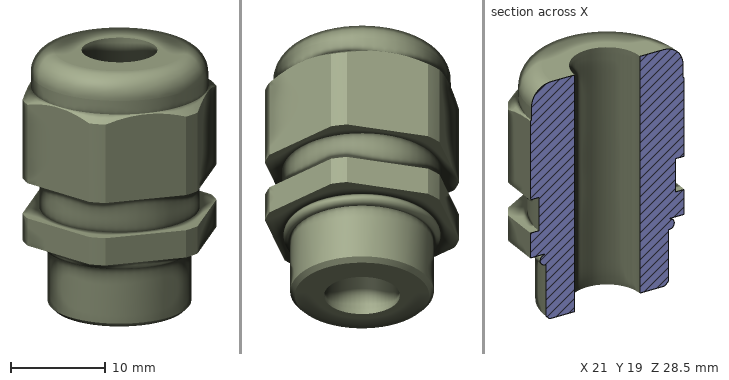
import cadquery as cq
import math

length = 28.5
end_chamfer = 0.48
flange_bottom = 7.95
flange_top = 11.0
nut_bottom = 14.93
nut_chamfer_start = 23.7
nut_top = 24.5

across_flats = 19.0
across_corners = 21.0
corner_radius = across_corners / 2
spigot_radius = 7.6
neck_radius = 8.5
cap_radius = 9.4
cap_round = 2.48
bore_radius = 4.02
seal_radius = 8.32
seal_section_radius = 0.65


def cylinder(radius, bottom, top):
    return cq.Workplane("XY").workplane(offset=bottom).circle(radius).extrude(top - bottom)


def rounded_hexagon(bottom, top):
    """Hexagonal prism with corners on the X axis, turned down to the corner radius."""
    sharp_width = across_flats / math.cos(math.pi / 6)
    prism = cq.Workplane("XY").workplane(offset=bottom).polygon(6, sharp_width).extrude(top - bottom)
    return prism.intersect(cylinder(corner_radius, bottom, top))


def clamping_nut():
    """Hexagon whose upper corners are cut back by a cone down to the cap radius."""
    envelope = (
        cq.Workplane("XZ")
        .moveTo(0, nut_bottom)
        .lineTo(corner_radius, nut_bottom)
        .lineTo(corner_radius, nut_chamfer_start)
        .lineTo(cap_radius, nut_top)
        .lineTo(0, nut_top)
        .close()
        .revolve(360, (0, 0, 0), (0, 1, 0))
    )
    return rounded_hexagon(nut_bottom, nut_top).intersect(envelope)


def sealing_ring():
    """Round-section ring resting against the underside of the flange."""
    return (
        cq.Workplane("XZ")
        .center(seal_radius - seal_section_radius, flange_bottom - seal_section_radius)
        .circle(seal_section_radius)
        .revolve(360, (seal_section_radius - seal_radius, 0, 0), (seal_section_radius - seal_radius, 1, 0))
    )


spigot = cylinder(spigot_radius, 0, flange_bottom).faces("<Z").chamfer(end_chamfer)
flange = rounded_hexagon(flange_bottom, flange_top)
neck = cylinder(neck_radius, flange_top, nut_bottom)
cap = cylinder(cap_radius, nut_bottom, length).faces(">Z").edges().fillet(cap_round)

body = spigot.union(sealing_ring()).union(flange).union(neck).union(clamping_nut()).union(cap)

result = body.cut(cylinder(bore_radius, 0, length))